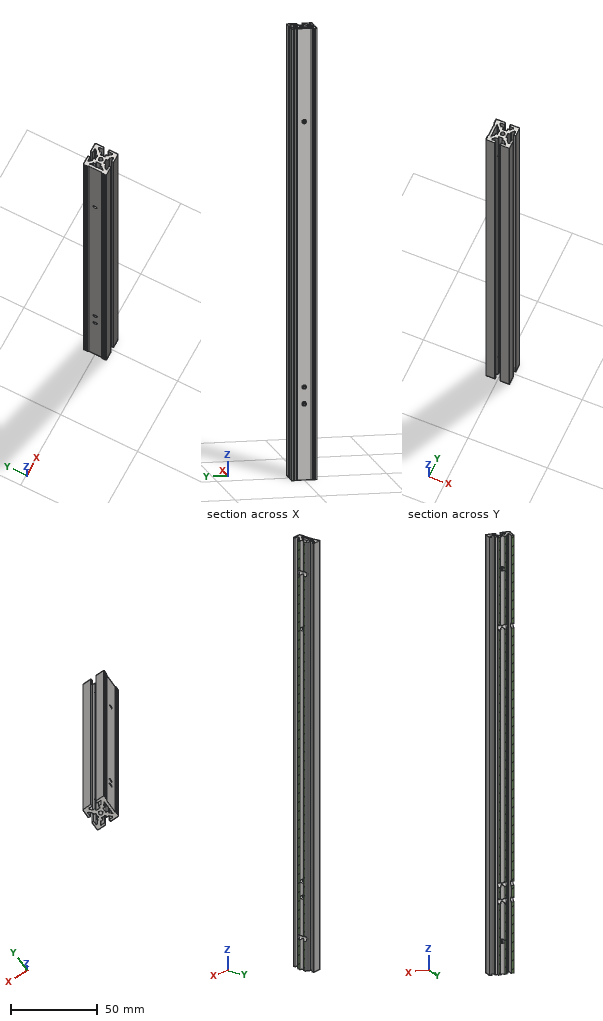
import cadquery as cq
side = 15.0
length = 267.0
half = side / 2
edge_chamfer = 0.2

lip_thickness = 1.4
slot_mouth_half = 1.6
y_cavity_half = 4.15
y_cavity_floor = 4.15
y_cavity_floor_half = 2.95
y_cavity_corner = 5.6
channel_half = 1.3
channel_floor = 2.75

x_lip_thickness = 1.3
x_cavity_half = 4.3
x_cavity_start = 4.35
x_cavity_corner = 5.4
pocket_half = 2.95
pocket_floor = 3.95
pocket_floor_half = 2.75
x_channel_half = 1.45
x_channel_floor = 2.65

recess_depth = 0.4
recess_half = 4.8
recess_floor_half = 4.05
wall_inner_face = 5.5

groove_offsets = (5.6, 6.45)
groove_width = 0.3
groove_depth = 0.15

bore_diameter = 2.35
y_hole_diameter = 2.7
x_hole_diameter = 2.5
y_hole_end_distance = 20.0
y_hole_heights = (y_hole_end_distance, length - y_hole_end_distance)
x_hole_heights = (45.0, 55.0, 212.0)


def prism(outline):
    """Full-length prism over an outline of (x, y) points."""
    return cq.Workplane("XY").polyline(outline).close().extrude(length)


def symmetric_prism(half_outline):
    """Full-length prism from (distance from axis, half width) points, mirrored about +X."""
    mirrored = [(distance, -width) for distance, width in reversed(half_outline)]
    return prism(half_outline + mirrored)


def turned(body, angle):
    """Body turned about the bar's axis."""
    return body.rotate((0, 0, 0), (0, 0, 1), angle)


def mouth(inner_face):
    """Slot opening between two lips with chamfered outer edges."""
    return [
        (inner_face, slot_mouth_half),
        (half - edge_chamfer, slot_mouth_half),
        (half, slot_mouth_half + edge_chamfer),
    ]


def side_cavity(outer_face):
    """Hollow beside the core on an X side, ending at the given outer face."""
    return [
        (x_channel_floor, x_channel_half),
        (pocket_floor, x_channel_half),
        (pocket_floor, pocket_floor_half),
        (x_cavity_start, pocket_half),
        (x_cavity_corner, x_cavity_half),
        (outer_face, x_cavity_half),
    ]


def y_slot():
    """T-slot with a central channel and slanted cavity ends, pointing along +X."""
    inner_face = half - lip_thickness
    return symmetric_prism(
        [
            (channel_floor, channel_half),
            (y_cavity_floor, channel_half),
            (y_cavity_floor, y_cavity_floor_half),
            (y_cavity_corner, y_cavity_half),
            (inner_face, y_cavity_half),
        ]
        + mouth(inner_face)
    )


def x_slot():
    """Open T-slot of the +X side."""
    inner_face = half - x_lip_thickness
    return symmetric_prism(side_cavity(inner_face) + mouth(inner_face))


def recess():
    """Shallow recess with sloped edges, pointing along +X."""
    return symmetric_prism([(half - recess_depth, recess_floor_half), (half, recess_half)])


def groove(y):
    """V-groove in the -X face, centred at the given y."""
    return prism([(-half, y - groove_width / 2), (-half + groove_depth, y), (-half, y + groove_width / 2)])


def cross_hole(plane, z, diameter):
    """Round hole through the whole bar at height z, square to the given plane."""
    return cq.Workplane(plane).center(0, z).circle(diameter / 2).extrude(half, both=True)


result = cq.Workplane("XY").rect(side, side).extrude(length).edges("|Z").chamfer(edge_chamfer)

result = result.cut(turned(y_slot(), 90)).cut(turned(y_slot(), -90)).cut(x_slot())
result = result.cut(turned(symmetric_prism(side_cavity(wall_inner_face)), 180))

result = result.cut(turned(recess(), 180))
for offset in groove_offsets:
    result = result.cut(groove(offset)).cut(groove(-offset))

result = result.cut(cq.Workplane("XY").circle(bore_diameter / 2).extrude(length))
for z in y_hole_heights:
    result = result.cut(cross_hole("XZ", z, y_hole_diameter))
for z in x_hole_heights:
    result = result.cut(cross_hole("YZ", z, x_hole_diameter))